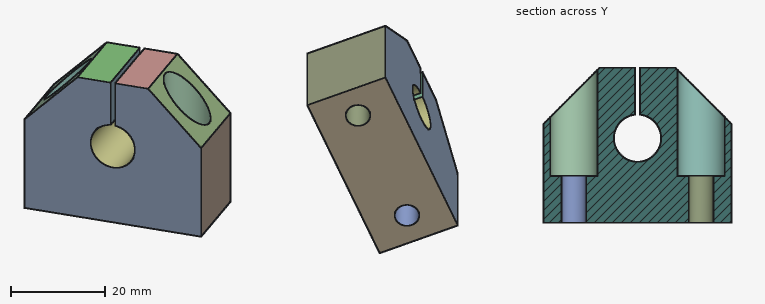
import cadquery as cq

length = 40
width = 18
height = 33.0
corner_cut = 12

bore_diameter = 10
bore_height = 18
slit_width = 1.0

screw_spacing = 27.0
screw_diameter = 5.2
head_diameter = 10
head_seat_height = 10


def make_block():
    block = cq.Workplane("XY").box(length, width, height, centered=(True, True, False))
    return block.edges("|Y and >Z").chamfer(corner_cut)


def make_clamp_opening():
    bore = (
        cq.Workplane("XZ")
        .center(0, bore_height)
        .circle(bore_diameter / 2)
        .extrude(width / 2, both=True)
    )
    slit = (
        cq.Workplane("XY", origin=(0, 0, bore_height))
        .rect(slit_width, width)
        .extrude(height - bore_height)
    )
    return bore.union(slit)


def make_screw_hole(x):
    shank = cq.Workplane("XY").center(x, 0).circle(screw_diameter / 2).extrude(height)
    head = (
        cq.Workplane("XY", origin=(x, 0, head_seat_height))
        .circle(head_diameter / 2)
        .extrude(height - head_seat_height)
    )
    return shank.union(head)


result = make_block().cut(make_clamp_opening())
for side in (-1, 1):
    result = result.cut(make_screw_hole(side * screw_spacing / 2))